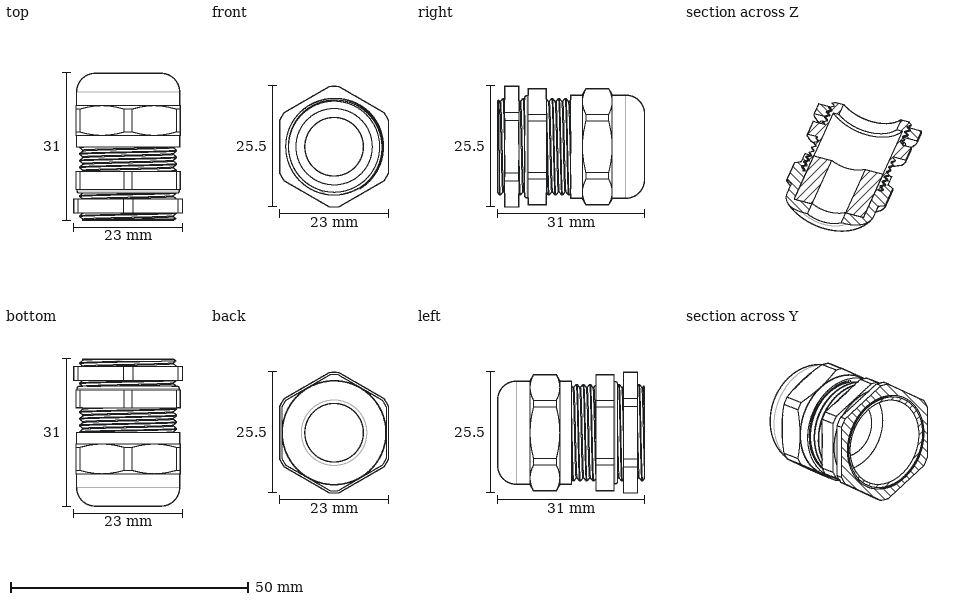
import cadquery as cq
import math


LOCKNUT_START = 1.5
LOCKNUT_LENGTH = 3.0
HEX_START = 6.45
HEX_END = 10.29
CAP_START = 15.4
CAP_HEX_START = 17.88
CAP_HEX_END = 24.15
CAP_END = 31.0
GLAND_END = 20.0
CAP_WALL = 3.0

PITCH = 25.4 / 18
CREST_RADIUS = 10.2
ROOT_RADIUS = 9.6
FLANK_ANGLE = 40.0
CREST_WIDTH = 0.18
CREST_START = 0.16
THREAD_EMBED = 0.05
THREAD_CHAMFER = 0.45
NUT_CLEARANCE = 0.22

HEX_FLATS = 22.0
HEX_CORNERS = 24.5
LOCKNUT_FLATS = 23.0
LOCKNUT_CORNERS = 25.5
CAP_CHAMFER_ANGLE = 30.0

CAP_RADIUS = 10.9
DOME_RADIUS = 4.0
CABLE_RADIUS = 6.15
ENTRY_RADIUS = 8.05
ENTRY_LENGTH = 3.0
CHAMBER_RADIUS = 9.1
SEALING_RING_RADIUS = 10.8
SEALING_RING_LENGTH = 0.75
SEALING_RING_FILLET = 0.5
SEALING_RING_CLEARANCE = 0.05


def disc(radius, start, end):
    """Solid cylinder on the Z axis between two heights."""
    return cq.Workplane("XY").workplane(offset=start).circle(radius).extrude(end - start)


def rounded_hex(flats, corners, start, end):
    """Hexagonal prism with flats facing +X and -X and its corners turned down to a cylinder."""
    point_diameter = flats / math.cos(math.radians(30))
    prism = (
        cq.Workplane("XY")
        .workplane(offset=start)
        .transformed(rotate=(0, 0, 30))
        .polygon(6, point_diameter)
        .extrude(end - start)
    )
    return prism.intersect(disc(corners / 2, start, end))


def thread(start, end, origin, clearance=0.0):
    """Right-hand threaded rod whose helix is phased from origin; clearance offsets it outward."""
    root = ROOT_RADIUS + clearance
    crest = CREST_RADIUS + clearance
    base = root - THREAD_EMBED
    half_crest = CREST_WIDTH / 2
    half_base = half_crest + (crest - base) * math.tan(math.radians(FLANK_ANGLE))
    first_turn = math.floor((start - origin) / PITCH) - 1
    ridge_start = origin + CREST_START + first_turn * PITCH
    turns = math.ceil((end - ridge_start) / PITCH) + 1
    helix = cq.Wire.makeHelix(PITCH, turns * PITCH, root)
    ridge = (
        cq.Workplane("XZ")
        .polyline([(base, -half_base), (crest, -half_crest), (crest, half_crest), (base, half_base)])
        .close()
        .sweep(cq.Workplane(helix), isFrenet=True)
        .translate((0, 0, ridge_start))
    )
    core = disc(root, ridge_start - PITCH, ridge_start + (turns + 1) * PITCH)
    return core.union(ridge).intersect(disc(2 * crest, start, end))


def connecting_thread():
    """Threaded rod below the hexagon, tapered from crest to root at its free end."""
    slope = (CREST_RADIUS - ROOT_RADIUS) / THREAD_CHAMFER
    outside = 2 * CREST_RADIUS
    taper_end = (outside - ROOT_RADIUS) / slope
    outside_taper = (
        cq.Workplane("XZ")
        .polyline([(ROOT_RADIUS, 0), (outside, taper_end), (outside, 0)])
        .close()
        .revolve(360, (0, 0, 0), (0, 1, 0))
    )
    return thread(0, HEX_START, 0).cut(outside_taper)


def make_gland_body():
    """Hexagon with the connecting thread on one side and the cap thread on the other."""
    body = rounded_hex(HEX_FLATS, HEX_CORNERS, HEX_START, HEX_END)
    body = body.union(connecting_thread())
    body = body.union(thread(HEX_END, GLAND_END, HEX_END))
    body = body.cut(disc(ENTRY_RADIUS, 0, ENTRY_LENGTH))
    return body.cut(disc(CHAMBER_RADIUS, ENTRY_LENGTH, GLAND_END))


def make_locknut():
    """Hexagonal nut with an internal thread that runs on the connecting thread."""
    locknut_end = LOCKNUT_START + LOCKNUT_LENGTH
    blank = rounded_hex(LOCKNUT_FLATS, LOCKNUT_CORNERS, LOCKNUT_START, locknut_end)
    return blank.cut(thread(LOCKNUT_START, locknut_end, 0, NUT_CLEARANCE))


def make_sealing_ring():
    """Ring against the gland hexagon, rounded on its outer face."""
    ring_start = HEX_START - SEALING_RING_LENGTH
    ring = disc(SEALING_RING_RADIUS, ring_start, HEX_START).faces("<Z").edges().fillet(SEALING_RING_FILLET)
    return ring.cut(disc(CREST_RADIUS + SEALING_RING_CLEARANCE, ring_start, HEX_START))


def make_cap_nut():
    """Domed nut with a chamfered hexagon, threaded for the gland and bored for the seal."""
    corner = HEX_CORNERS / 2
    flat = HEX_FLATS / 2
    chamfer = (corner - flat) * math.tan(math.radians(CAP_CHAMFER_ANGLE))
    hex_envelope = (
        cq.Workplane("XZ")
        .polyline([
            (0, CAP_HEX_START),
            (flat, CAP_HEX_START),
            (corner, CAP_HEX_START + chamfer),
            (corner, CAP_HEX_END - chamfer),
            (flat, CAP_HEX_END),
            (0, CAP_HEX_END),
        ])
        .close()
        .revolve(360, (0, 0, 0), (0, 1, 0))
    )
    hexagon = rounded_hex(HEX_FLATS, HEX_CORNERS, CAP_HEX_START, CAP_HEX_END).intersect(hex_envelope)
    dome = disc(CAP_RADIUS, CAP_START, CAP_END).faces(">Z").edges().fillet(DOME_RADIUS)
    cap = dome.union(hexagon)
    cap = cap.cut(thread(CAP_START, GLAND_END, HEX_END, NUT_CLEARANCE))
    cap = cap.cut(disc(CHAMBER_RADIUS, GLAND_END, CAP_END - CAP_WALL))
    return cap.cut(disc(CABLE_RADIUS, CAP_END - CAP_WALL, CAP_END))


def make_cable_seal():
    """Sleeve around the cable, filling the gland chamber under the cap nut."""
    seal_end = CAP_END - CAP_WALL
    return disc(CHAMBER_RADIUS, CAP_START, seal_end).cut(disc(CABLE_RADIUS, CAP_START, seal_end))


def lay_along_y(body):
    """Turn a body built along +Z so that its axis points along +Y."""
    return body.solids().rotate((0, 0, 0), (1, 0, 0), -90)


gland_body = lay_along_y(make_gland_body())
locknut = lay_along_y(make_locknut())
sealing_ring = lay_along_y(make_sealing_ring())
cap_nut = lay_along_y(make_cap_nut())
cable_seal = lay_along_y(make_cable_seal())

result = cq.Compound.makeCompound([
    gland_body.val(),
    locknut.val(),
    sealing_ring.val(),
    cap_nut.val(),
    cable_seal.val(),
])